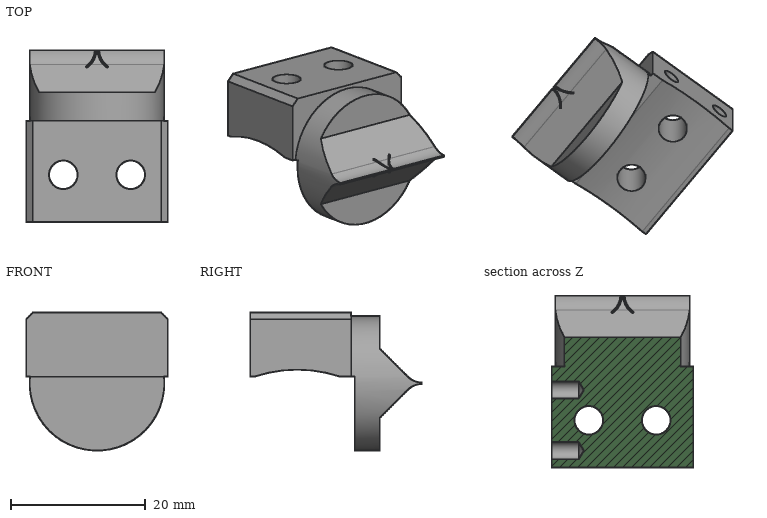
import math

import cadquery as cq

block_width = 21.0
block_length = 15.0
block_bottom = 11.0
block_top = 20.5
block_chamfer = 1.0
block_center_y = 7.0

mount_hole_diameter = 4.2
mount_hole_spacing = 10.0

side_hole_diameter = 2.5
side_hole_spacing = 9.0
side_hole_z = 15.0
side_hole_depth = 4.0
drill_point_angle = 118.0

arch_radius = 20.0
arch_height = 1.0

head_radius = 10.0
head_axis_z = 10.0
head_shoulder_y = 19.25
head_face_y = 15.5

blade_tip_y = 25.5
blade_tip_thickness = 0.25
blade_fillet_radius = 3.0
blade_slope_angle = 45.0

slit_width = 0.2
slit_offset = 0.22
slit_radius = 3.0
slit_sweep_angle = 55.0


def make_block():
    height = block_top - block_bottom
    block = (
        cq.Workplane("XY", origin=(0, 0, block_bottom))
        .box(block_width, block_length, height, centered=(True, False, False))
        .edges("|Y and >Z")
        .chamfer(block_chamfer)
    )
    arch_axis_z = block_bottom + arch_height - arch_radius
    arch = (
        cq.Workplane("YZ", origin=(0, block_center_y, arch_axis_z))
        .circle(arch_radius)
        .extrude(block_width, both=True)
    )
    mount_holes = (
        cq.Workplane("XY", origin=(0, block_center_y, block_bottom))
        .pushPoints([(side * mount_hole_spacing / 2, 0) for side in (-1, 1)])
        .circle(mount_hole_diameter / 2)
        .extrude(height)
    )
    block = block.cut(arch).cut(mount_holes)
    for side in (-1, 1):
        block = block.cut(make_side_hole(block_center_y + side * side_hole_spacing / 2))
    return block


def make_side_hole(y):
    """Drilled hole with a conical bottom, entering the -X side of the block."""
    radius = side_hole_diameter / 2
    entry_x = -block_width / 2
    point_length = radius / math.tan(math.radians(drill_point_angle / 2))
    return (
        cq.Workplane("XY", origin=(entry_x, y, side_hole_z))
        .moveTo(0, 0)
        .lineTo(0, radius)
        .lineTo(side_hole_depth, radius)
        .lineTo(side_hole_depth + point_length, 0)
        .close()
        .revolve(360, (0, 0, 0), (1, 0, 0))
    )


def make_head():
    """Cylinder along Y, trimmed at its tip end to the side profile of the blade."""
    slope = math.radians(blade_slope_angle)
    tip_half = blade_tip_thickness / 2
    fillet_y = blade_tip_y - blade_fillet_radius * math.sin(slope)
    fillet_half = tip_half + blade_fillet_radius * (1 - math.cos(slope))
    middle_y = blade_tip_y - blade_fillet_radius * math.sin(slope / 2)
    middle_half = tip_half + blade_fillet_radius * (1 - math.cos(slope / 2))
    shoulder_half = fillet_half + (fillet_y - head_shoulder_y) * math.tan(slope)

    profile = (
        cq.Workplane("YZ", origin=(0, 0, head_axis_z))
        .moveTo(block_length, block_bottom - head_axis_z)
        .lineTo(block_length, head_radius)
        .lineTo(head_shoulder_y, head_radius)
        .lineTo(head_shoulder_y, shoulder_half)
        .lineTo(fillet_y, fillet_half)
        .threePointArc((middle_y, middle_half), (blade_tip_y, tip_half))
        .lineTo(blade_tip_y, -tip_half)
        .threePointArc((middle_y, -middle_half), (fillet_y, -fillet_half))
        .lineTo(head_shoulder_y, -shoulder_half)
        .lineTo(head_shoulder_y, -head_radius)
        .lineTo(head_face_y, -head_radius)
        .lineTo(head_face_y, block_bottom - head_axis_z)
        .close()
        .extrude(head_radius, both=True)
    )
    cylinder = (
        cq.Workplane("XZ", origin=(0, 0, head_axis_z))
        .circle(head_radius)
        .extrude(-blade_tip_y)
    )
    return cylinder.intersect(profile)


def make_slit(side):
    """Arc-shaped slit that leaves the tip along Y and curves outward to a round end."""
    sweep = math.radians(slit_sweep_angle)
    inner_radius = slit_radius - slit_width / 2
    outer_radius = slit_radius + slit_width / 2
    center_x = slit_offset + slit_radius

    def arc_point(radius, angle):
        x = center_x - radius * math.cos(angle)
        y = blade_tip_y - radius * math.sin(angle)
        return (side * x, y)

    end_x, end_y = arc_point(slit_radius, sweep)
    round_end = (
        end_x + side * slit_width / 2 * math.sin(sweep),
        end_y - slit_width / 2 * math.cos(sweep),
    )
    return (
        cq.Workplane("XY")
        .moveTo(*arc_point(outer_radius, 0))
        .threePointArc(arc_point(outer_radius, sweep / 2), arc_point(outer_radius, sweep))
        .threePointArc(round_end, arc_point(inner_radius, sweep))
        .threePointArc(arc_point(inner_radius, sweep / 2), arc_point(inner_radius, 0))
        .close()
        .extrude(block_top)
    )


result = make_block().union(make_head())
for slit_side in (-1, 1):
    result = result.cut(make_slit(slit_side))